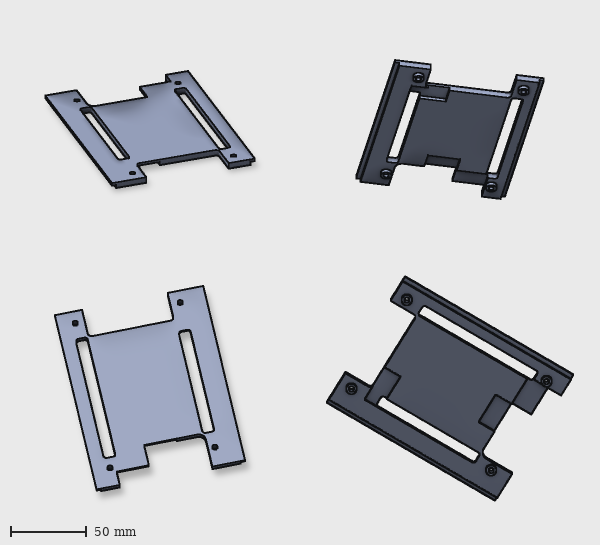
import cadquery as cq

length = 130.0
width = 100.5
total_height = 6.9
boss_height = 2.6
plate_thickness = total_height - boss_height
skin_thickness = 2.0
core_thickness = plate_thickness - skin_thickness
lip_width = 3.0

waist_left = 25.0
waist_right = 109.8
tab_left = 9.9
tab_front = 62.9
front_left_arm = 22.1
front_right_arm = 24.2
rear_left_arm = 84.8
rear_right_arm = 82.0
left_corner_radius = 5.0
inner_radius = 2.5

front_slot_right = 101.0
front_slot_front = 15.2
rear_slot_left = 21.0
rear_slot_front = 83.0
slot_width = 7.9
slot_corner_radius = 2.0

hole_diameter = 3.5
boss_diameter = 7.0
hole_left = 13.5
hole_right = 121.4
hole_front = 17.5
hole_rear = 88.5

recess_front = 41.0
recess_depth = 12.4
right_recess_left = waist_right - recess_depth


def block(left, front, right, rear, height, base=0.0):
    """Box between two opposite corners, standing on the given level."""
    return (
        cq.Workplane("XY")
        .box(right - left, rear - front, height, centered=False)
        .translate((left, front, base))
    )


def make_plate():
    outline = [
        (0, 0),
        (length, 0),
        (length, front_right_arm),
        (waist_right, front_right_arm),
        (waist_right, rear_right_arm),
        (length, rear_right_arm),
        (length, width),
        (0, width),
        (0, rear_left_arm),
        (tab_left, rear_left_arm),
        (tab_left, tab_front),
        (waist_left, tab_front),
        (waist_left, front_left_arm),
        (0, front_left_arm),
    ]
    plate = cq.Workplane("XY").polyline(outline).close().extrude(plate_thickness)
    middle = plate_thickness / 2
    for y in (front_right_arm, rear_right_arm):
        corner = cq.selectors.NearestToPointSelector((waist_right, y, middle))
        plate = plate.edges("|Z").edges(corner).fillet(inner_radius)
    corner = cq.selectors.NearestToPointSelector((waist_left, front_left_arm, middle))
    return plate.edges("|Z").edges(corner).fillet(left_corner_radius)


def cut_lips(plate):
    """Leave only the skin along the front and rear edges."""
    for front in (0, width - lip_width):
        plate = plate.cut(block(0, front, length, front + lip_width, core_thickness))
    return plate


def cut_recesses(plate):
    under_tab = block(0, tab_front, waist_left, rear_left_arm, core_thickness)
    under_tab = under_tab.edges("|Z and >X and >Y").fillet(inner_radius)
    under_waist = block(
        waist_left, recess_front, waist_left + recess_depth, tab_front, core_thickness
    )
    beside_slot = block(
        right_recess_left, front_slot_front, waist_right, recess_front, core_thickness
    )
    return plate.cut(under_tab).cut(under_waist).cut(beside_slot)


def cut_slot(plate, left, right, front):
    slot = block(left, front, right, front + slot_width, plate_thickness)
    return plate.cut(slot.edges("|Z").fillet(slot_corner_radius))


def add_bosses(plate):
    centers = [(x, y) for x in (hole_left, hole_right) for y in (hole_front, hole_rear)]
    bosses = (
        cq.Workplane("XY", origin=(0, 0, -boss_height))
        .pushPoints(centers)
        .circle(boss_diameter / 2)
        .extrude(total_height - skin_thickness)
    )
    holes = (
        cq.Workplane("XY", origin=(0, 0, -boss_height))
        .pushPoints(centers)
        .circle(hole_diameter / 2)
        .extrude(total_height)
    )
    return plate.union(bosses).cut(holes)


result = cut_lips(make_plate())
result = cut_recesses(result)
result = cut_slot(result, waist_left, front_slot_right, front_slot_front)
result = cut_slot(result, rear_slot_left, waist_right, rear_slot_front)
result = add_bosses(result)